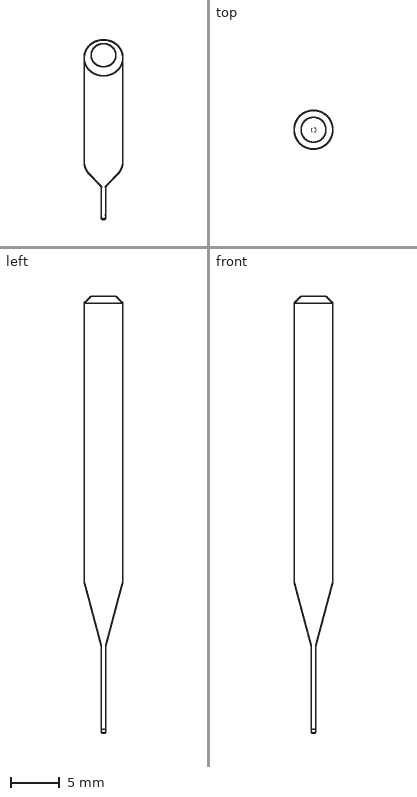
import cadquery as cq
import math

total_length = 45.0
shank_radius = 4.0 / 2
end_chamfer = 0.7

neck_radius = 0.245

cone_top = 15.55
cone_half_angle = math.radians(15)
blend_radius = 1.1
blend_rise = blend_radius * (1 - math.cos(cone_half_angle))
blend_length = blend_radius * math.sin(cone_half_angle)
cone_end_radius = neck_radius + blend_rise
cone_bottom = cone_top - (shank_radius - cone_end_radius) / math.tan(cone_half_angle)
neck_top = cone_bottom - blend_length

head_radius = 0.25
head_height = 0.4


def make_holder():
    """Chamfered shank, cone and slender neck, ending flat on the cutting head."""
    return (
        cq.Workplane("XZ")
        .moveTo(0, head_height)
        .lineTo(neck_radius, head_height)
        .lineTo(neck_radius, neck_top)
        .radiusArc((cone_end_radius, cone_bottom), blend_radius)
        .lineTo(shank_radius, cone_top)
        .lineTo(shank_radius, total_length - end_chamfer)
        .lineTo(shank_radius - end_chamfer, total_length)
        .lineTo(0, total_length)
        .close()
        .revolve(360, (0, 0, 0), (0, 1, 0))
    )


def make_cutting_head():
    """Short cylinder with a hemispherical lower end."""
    return (
        cq.Workplane("XZ")
        .moveTo(0, 0)
        .radiusArc((head_radius, head_radius), -head_radius)
        .lineTo(head_radius, head_height)
        .lineTo(0, head_height)
        .close()
        .revolve(360, (0, 0, 0), (0, 1, 0))
    )


holder = make_holder()
cutting_head = make_cutting_head()

result = cq.Compound.makeCompound([holder.val(), cutting_head.val()])